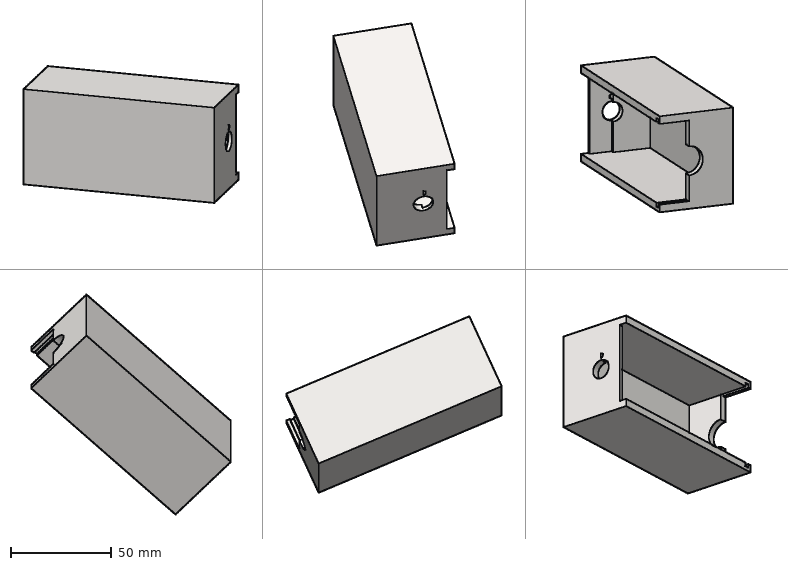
import cadquery as cq

length = 100
depth = 40
height = 50
wall = 4

end_wall_depth = 24
axis_z = height / 2
near_opening_diameter = 15
far_opening_diameter = 10

groove_offset = 2
groove_width = 2
groove_depth = 2

panel_depth = depth - wall
panel_thickness = wall / 2
pin_hole_diameter = 2.5
pin_hole_z = axis_z + near_opening_diameter / 2


def block(x_min, x_max, y_min, y_max, z_min, z_max):
    """Box given by its limits along each axis."""
    size = (x_max - x_min, y_max - y_min, z_max - z_min)
    return cq.Workplane("XY").box(*size, centered=False).translate((x_min, y_min, z_min))


def bore(x_min, x_max, z, diameter):
    """Cylinder along X, centred on the top edge of the end walls."""
    profile = cq.Workplane("YZ", origin=(x_min, end_wall_depth, z)).circle(diameter / 2)
    return profile.extrude(x_max - x_min)


def make_housing():
    shell = block(0, length, 0, depth, 0, height)
    cavity = block(wall, length - wall, wall, depth, wall, height - wall)
    end_openings = block(0, length, end_wall_depth, depth, wall, height - wall)
    return shell.cut(cavity).cut(end_openings)


def make_grooves():
    groove_end = groove_offset + groove_width
    return block(
        groove_offset, groove_end,
        end_wall_depth, depth,
        wall - groove_depth, height - wall + groove_depth,
    )


def make_panel():
    panel = block(
        length - panel_thickness, length,
        end_wall_depth, panel_depth,
        wall, height - wall,
    )
    return panel.cut(bore(length - panel_thickness, length, pin_hole_z, pin_hole_diameter))


result = (
    make_housing()
    .cut(make_grooves())
    .union(make_panel())
    .cut(bore(0, wall, axis_z, near_opening_diameter))
    .cut(bore(length - wall, length, axis_z, far_opening_diameter))
)